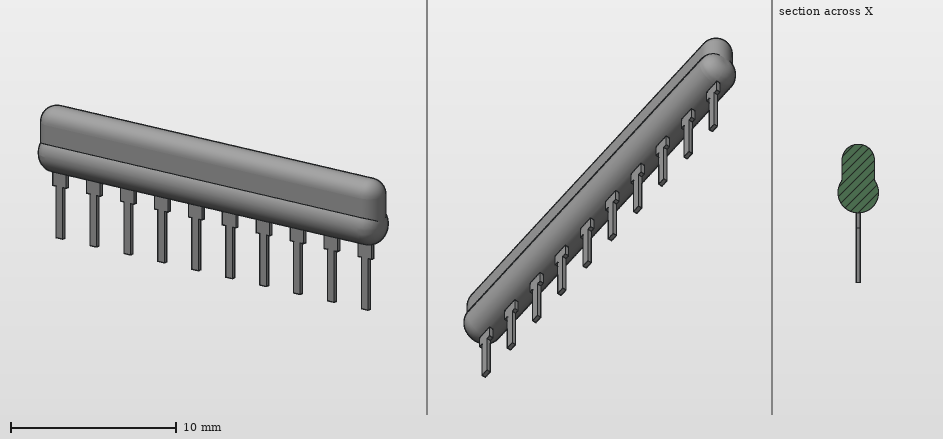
import cadquery as cq

body_length = 25.35
body_height = 4.18
total_height = 8.4

slab_width = 2.0
slab_radius = slab_width / 2
bar_radius = 1.25
bar_end_fillet = slab_radius

pin_count = 10
pin_pitch = 2.54
pin_width = 0.5
pin_thickness = 0.25
shoulder_width = 1.01
shoulder_drop = 0.9

bar_axis_z = bar_radius
slab_axis_z = body_height - slab_radius
pin_tip_z = body_height - total_height


def make_bar():
    """Round bar along X with filleted ends that leave a small flat disc."""
    half_length = body_length / 2
    half_straight = half_length - bar_end_fillet
    disc_radius = bar_radius - bar_end_fillet
    return (
        cq.Workplane("XY", origin=(0, 0, bar_axis_z))
        .moveTo(-half_length, 0)
        .lineTo(-half_length, -disc_radius)
        .radiusArc((-half_straight, -bar_radius), -bar_end_fillet)
        .lineTo(half_straight, -bar_radius)
        .radiusArc((half_length, -disc_radius), -bar_end_fillet)
        .lineTo(half_length, 0)
        .close()
        .revolve(360, (0, 0), (1, 0))
    )


def make_slab():
    """Upright slab with half-round ends under a round-ended crown of the same width."""
    upright = (
        cq.Workplane("XY", origin=(0, 0, bar_axis_z))
        .slot2D(body_length, slab_width)
        .extrude(slab_axis_z - bar_axis_z)
    )
    half_length = body_length / 2
    half_straight = half_length - slab_radius
    crown = (
        cq.Workplane("XZ", origin=(0, 0, slab_axis_z))
        .moveTo(-half_length, 0)
        .radiusArc((-half_straight, -slab_radius), -slab_radius)
        .lineTo(half_straight, -slab_radius)
        .radiusArc((half_length, 0), -slab_radius)
        .close()
        .revolve(360, (0, 0), (1, 0))
    )
    return upright.union(crown)


def upright_strip(width, bottom_z):
    """Flat strip from the bar axis down to bottom_z, centred on X = 0."""
    return (
        cq.Workplane("XY", origin=(0, 0, bottom_z))
        .rect(width, pin_thickness)
        .extrude(bar_axis_z - bottom_z)
    )


def make_pin():
    """Pin with a wide shoulder just below the body."""
    return upright_strip(shoulder_width, -shoulder_drop).union(upright_strip(pin_width, pin_tip_z))


result = make_slab().union(make_bar())

pin = make_pin()
for index in range(pin_count):
    pin_x = (index - (pin_count - 1) / 2) * pin_pitch
    result = result.union(pin.translate((pin_x, 0, 0)))